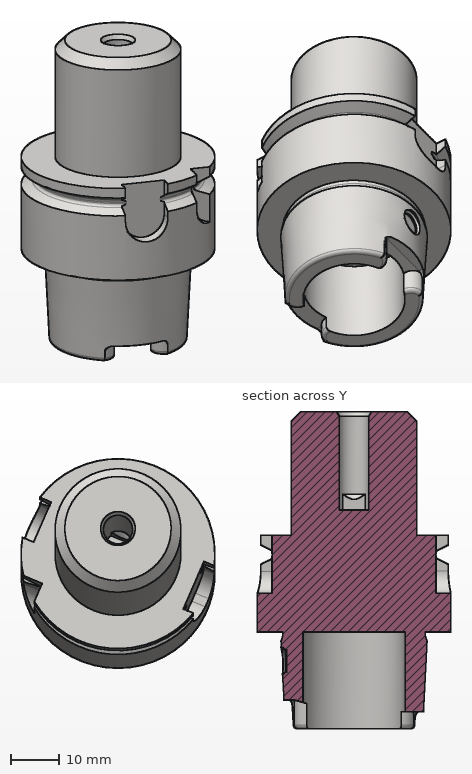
import cadquery as cq
import math

total_height = 65.5
flange_bottom = 20.0
flange_top = 40.0

shank_radius = 26.0 / 2
shank_chamfer = 2.0

flange_radius = 40.0 / 2
groove_height = 35.95
groove_floor_radius = 17.35
groove_shoulder_radius = 17.8
groove_floor_half_width = 0.1
groove_shoulder_half_width = 0.85
groove_mouth_half_width = 1.95

neck_radius = 29.6 / 2
neck_end = 19.1
taper_top = 18.1
taper_top_radius = 15.1
taper_bottom_radius = 14.2
taper_edge_round = 0.85
cavity_radius = 21.0 / 2
cavity_depth = flange_bottom

slot_bottom = 28.05
slot_flat_distance = 16.95
wide_slot_width = 10.9
slot_corner_radius = 4.5
round_slot_width = 9.2
notch_offset = 11.9

keyway_width = 7.85
keyway_mouth_width = 13.6
keyway_mouth_distance = 12.4
keyway_round = (keyway_mouth_width - keyway_width) / 2
deep_keyway_height = 5.95
deep_keyway_inner_height = 5.2
shallow_keyway_height = 3.55
deep_keyway_corner = 1.2
shallow_keyway_corner = 1.45

bore_diameter = 6.0
bore_mouth_diameter = 7.15
bore_mouth_depth = 1.0
bore_depth = 17.0
bore_slot_width = 3.85
bore_slot_depth = 3.3

access_height = 14.0
access_diameter = 4.6
access_mouth_diameter = 5.65
access_mouth_distance = 14.75
access_floor_distance = 13.9


def turned_body():
    """Solid of revolution carrying the shank, flange, neck and taper."""
    corner_depth = groove_shoulder_radius - groove_floor_radius
    corner_height = groove_shoulder_half_width - groove_floor_half_width
    corner_radius = (corner_depth**2 + corner_height**2) / (2 * corner_depth)
    return (
        cq.Workplane("XZ")
        .moveTo(0, 0)
        .lineTo(taper_bottom_radius, 0)
        .lineTo(taper_top_radius, taper_top)
        .lineTo(neck_radius, neck_end)
        .lineTo(neck_radius, flange_bottom)
        .lineTo(flange_radius, flange_bottom)
        .lineTo(flange_radius, groove_height - groove_mouth_half_width)
        .lineTo(groove_shoulder_radius, groove_height - groove_shoulder_half_width)
        .radiusArc((groove_floor_radius, groove_height - groove_floor_half_width), corner_radius)
        .lineTo(groove_floor_radius, groove_height + groove_floor_half_width)
        .radiusArc((groove_shoulder_radius, groove_height + groove_shoulder_half_width), corner_radius)
        .lineTo(flange_radius, groove_height + groove_mouth_half_width)
        .lineTo(flange_radius, flange_top)
        .lineTo(shank_radius, flange_top)
        .lineTo(shank_radius, total_height - shank_chamfer)
        .lineTo(shank_radius - shank_chamfer, total_height)
        .lineTo(0, total_height)
        .close()
        .revolve(360, (0, 0, 0), (0, 1, 0))
    )


def rim_slot(start_x, length, center_y, width, corner_radius):
    """Slot cutter along X, open at the top, with quarter-round bottom corners."""
    half_width = width / 2
    half_flat = half_width - corner_radius
    arc_reach = corner_radius * math.sqrt(0.5)
    arc_center = slot_bottom + corner_radius
    outline = (
        cq.Workplane("YZ", origin=(start_x, center_y, 0))
        .moveTo(-half_width, flange_top)
        .lineTo(-half_width, arc_center)
        .threePointArc((-half_flat - arc_reach, arc_center - arc_reach), (-half_flat, slot_bottom))
    )
    if half_flat > 0:
        outline = outline.lineTo(half_flat, slot_bottom)
    return (
        outline.threePointArc((half_flat + arc_reach, arc_center - arc_reach), (half_width, arc_center))
        .lineTo(half_width, flange_top)
        .close()
        .extrude(length)
    )


def drive_key():
    """Blank of the key on the +Y side, with round flanks and a rounded lower end."""
    height = deep_keyway_height
    return (
        cq.Workplane("XY")
        .box(2 * keyway_mouth_distance, flange_radius, height, centered=(True, False, False))
        .edges("|Z and <Y")
        .fillet(keyway_round)
        .faces("<Z")
        .edges()
        .fillet(taper_edge_round)
        .translate((0, keyway_width / 2, 0))
    )


def keyway(height, inner_height, corner_radius):
    """Cutter for the keyway on the -X side, leaving the two drive keys standing."""
    roof_start = keyway_mouth_distance - keyway_round
    envelope = (
        cq.Workplane("XY")
        .box(2 * flange_radius, keyway_mouth_width, height, centered=(True, True, False))
        .edges("|X and >Z")
        .fillet(corner_radius)
    )
    under_roof = (
        cq.Workplane("XZ")
        .moveTo(0, 0)
        .lineTo(0, inner_height)
        .lineTo(-roof_start, inner_height)
        .lineTo(-keyway_mouth_distance, height)
        .lineTo(-flange_radius, height)
        .lineTo(-flange_radius, 0)
        .close()
        .extrude(keyway_mouth_width / 2, both=True)
    )
    key = drive_key()
    return envelope.intersect(under_roof).cut(key).cut(key.mirror("XZ"))


def shank_bore():
    """Bore with a chamfered mouth, a conical end and a cross slot below the cone."""
    radius = bore_diameter / 2
    mouth_radius = bore_mouth_diameter / 2
    bore_floor = total_height - bore_depth
    bore = (
        cq.Workplane("XZ")
        .moveTo(0, total_height)
        .lineTo(mouth_radius, total_height)
        .lineTo(radius, total_height - bore_mouth_depth)
        .lineTo(radius, bore_floor)
        .lineTo(0, bore_floor - radius)
        .close()
        .revolve(360, (0, 0, 0), (0, 1, 0))
    )
    slot = (
        cq.Workplane("XY", origin=(0, 0, bore_floor))
        .rect(bore_diameter, bore_slot_width)
        .extrude(-bore_slot_depth)
    )
    bore_core = cq.Workplane("XY").circle(radius).extrude(total_height)
    return bore.union(slot.intersect(bore_core))


def access_recess():
    """Shallow flat-bottomed round recess with a bevelled mouth."""
    radius = access_diameter / 2
    mouth_radius = access_mouth_diameter / 2
    bevel_end = access_mouth_distance - (mouth_radius - radius)
    return (
        cq.Workplane("XY")
        .moveTo(-access_floor_distance, 0)
        .lineTo(-access_floor_distance, radius)
        .lineTo(-bevel_end, radius)
        .lineTo(-access_mouth_distance, mouth_radius)
        .lineTo(-flange_radius, mouth_radius)
        .lineTo(-flange_radius, 0)
        .close()
        .revolve(360, (0, 0, 0), (1, 0, 0))
        .translate((0, 0, access_height))
    )


body = turned_body()

body = body.faces("<Z").edges().fillet(taper_edge_round)
deep_keyway = keyway(deep_keyway_height, deep_keyway_inner_height, deep_keyway_corner)
shallow_keyway = keyway(shallow_keyway_height, shallow_keyway_height, shallow_keyway_corner)
body = body.cut(deep_keyway)
body = body.cut(shallow_keyway.rotate((0, 0, 0), (0, 0, 1), 180))
body = body.cut(cq.Workplane("XY").circle(cavity_radius).extrude(cavity_depth))

slot_length = flange_radius - slot_flat_distance
notch_width = 2 * slot_corner_radius
notch_center = notch_offset + slot_corner_radius
body = body.cut(rim_slot(-flange_radius, slot_length, 0, wide_slot_width, slot_corner_radius))
body = body.cut(rim_slot(slot_flat_distance, slot_length, 0, round_slot_width, round_slot_width / 2))
body = body.cut(rim_slot(notch_offset, flange_radius, notch_center, notch_width, slot_corner_radius))

body = body.cut(shank_bore())
body = body.cut(access_recess())

result = body